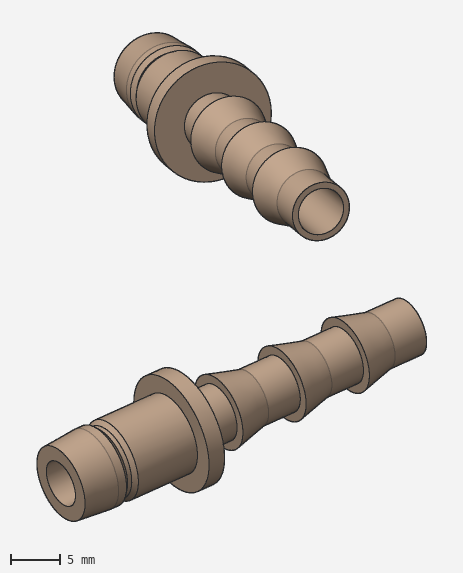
import cadquery as cq

total_length = 44.0
nose_length = 4.0
groove_start = 5.0
groove_width = 1.5
groove_side_width = 0.5
flange_start = 14.0
flange_thickness = 2.0
first_barb_start = 19.98
barb_length = 4.0
barb_count = 3

bore_radius = 5.0 / 2
nose_tip_radius = 8.3 / 2
plug_radius = 8.98 / 2
groove_depth = 0.5
flange_radius = 13.0 / 2
hose_tail_radius = 6.35 / 2
barb_radius = 8.35 / 2

barb_pitch = 2 * barb_length


def cylinder(start, length, radius):
    """Solid cylinder along +X."""
    return cq.Workplane("YZ", origin=(start, 0, 0)).circle(radius).extrude(length)


def cone(start, length, start_radius, end_radius):
    """Solid truncated cone along +X."""
    axis_start = cq.Vector(start, 0, 0)
    axis_direction = cq.Vector(1, 0, 0)
    return cq.Workplane(cq.Solid.makeCone(start_radius, end_radius, length, axis_start, axis_direction))


def plug():
    """Tapered nose, retaining groove and plain cylinder up to the flange."""
    groove_end = groove_start + groove_width
    floor_radius = plug_radius - groove_depth
    profile = (
        cq.Workplane("XZ")
        .moveTo(0, 0)
        .lineTo(0, nose_tip_radius)
        .lineTo(nose_length, plug_radius)
        .lineTo(groove_start, plug_radius)
        .lineTo(groove_start + groove_side_width, floor_radius)
        .lineTo(groove_end - groove_side_width, floor_radius)
        .lineTo(groove_end, plug_radius)
        .lineTo(flange_start, plug_radius)
        .lineTo(flange_start, 0)
        .close()
    )
    return profile.revolve(360, (0, 0, 0), (1, 0, 0))


def hose_tail():
    """Plain tube with conical barbs that narrow toward the free end."""
    tail_start = flange_start + flange_thickness
    tail = cylinder(tail_start, total_length - tail_start, hose_tail_radius)
    for index in range(barb_count):
        barb_start = first_barb_start + index * barb_pitch
        tail = tail.union(cone(barb_start, barb_length, barb_radius, hose_tail_radius))
    return tail


flange = cylinder(flange_start, flange_thickness, flange_radius)
bore = cylinder(0, total_length, bore_radius)

result = plug().union(flange).union(hose_tail()).cut(bore)